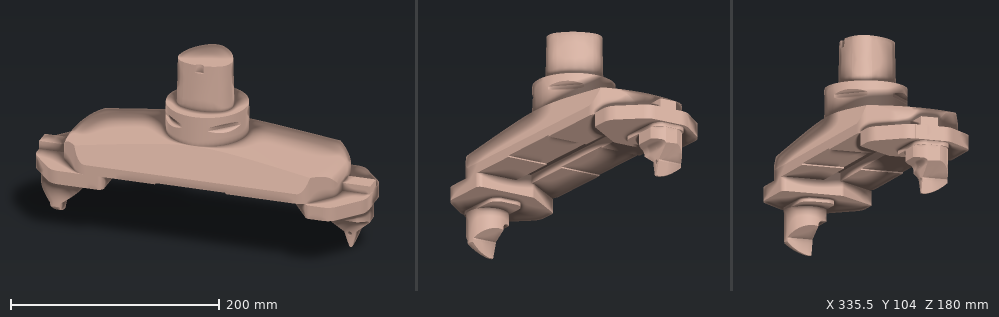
import cadquery as cq
import math


overall_length = 335.5

half_width = 52.0
corner_radius = 15.8
corner_angle = 50
body_end_radius = 140.0
body_corner_start = 114.5
roof_top_radius = 40.2
roof_top_z = 40.5
roof_edge_radius = 127.5
roof_edge_z = 26.5
round_bottom_z = 12.0
side_wall_height = 10.0
roof_half_width = 41.0
relief_length = 71.0
relief_depth = 1.5

collar_diameter = 80.0
collar_top_z = 70.8
groove_z = 58.5
groove_depth = 4.0
groove_floor_width = 3.0
groove_mouth_width = 9.5
shank_top_z = 118.0
shank_taper = 1.4
lobe_radius = 30.0
join_radius = 28.2
flat_radius = 25.5
join_angle = 20.5
notch_radius = 5.0
notch_height = 8.0
notch_y = -26.0

pad_thickness = 0.5
slide_end = (overall_length - pad_thickness) / 2
slide_inner_end = 89.0
slide_thickness = 14.0
slide_corner_start = 141.5
inner_cut_start = 117.5
inner_cut_angle = 55
inner_radius = 5.0
tongue_width = 17.5
tongue_height = 8.5
tongue_clearance = 0.7
pad_y = -8.5
pad_width = 12.7

cutter_x = 145.0
cutter_y = 5.7
cutter_radius = 20.5
front_flat_y = -12.0
side_flat = 19.5
flange_inner_end = 105.3
flange_outer_end = 164.5
flange_front_y = -11.5
flange_back_y = 23.8
flange_thickness = 4.0
flange_radius = 10.5
rake_top_z = -36.2
runout_radius = 5.5
ledge_angle = 10
outer_slope_front_z = -35.0
outer_slope_back_z = -31.5
inner_slope_starts = (-38.0, -36.5)
relief_mid = (12.0, -59.7)
relief_back_z = -50.3

insert_thickness = 4.7
insert_top = (-2.7, -34.2)
shoulder_wide = 6.0
shoulder_narrow = 4.0
shoulder_top_z = -47.0
shoulder_bottom_z = -48.3
tip_half_width = 1.17
insert_hole_x = -1.0
tip_z = -62.0
insert_hole_diameter = 4.5


def box_between(x0, x1, y0, y1, z0, z1):
    """Box given by its limits along each axis."""
    return cq.Workplane("XY").box(x1 - x0, y1 - y0, z1 - z0, centered=False).translate((x0, y0, z0))


def body_plan():
    """Upright block with round ends and four cut, rounded corners."""
    corner_drop = (body_end_radius - body_corner_start) * math.tan(math.radians(corner_angle))
    corner_y = half_width - corner_drop
    x_far = body_end_radius
    half = [(x_far, -corner_y), (x_far, corner_y), (body_corner_start, half_width)]
    outline = half + [(-x, y) for x, y in reversed(half)]
    outline += [(-body_corner_start, -half_width), (body_corner_start, -half_width)]
    block = cq.Workplane("XY").polyline(outline).close().extrude(roof_top_z)
    block = block.intersect(cq.Workplane("XY").circle(body_end_radius).extrude(roof_top_z))
    return block.edges("|Z").fillet(corner_radius)


def body_roof():
    """Conical roof with rounded edge, turned about the Z axis."""
    run = body_end_radius - roof_edge_radius
    rise = roof_edge_z - round_bottom_z
    radius = (run ** 2 + rise ** 2) / (2 * run)
    half_turn = math.asin(rise / radius) / 2
    mid_x = body_end_radius - radius * (1 - math.cos(half_turn))
    mid_z = round_bottom_z + radius * math.sin(half_turn)
    profile = (
        cq.Workplane("XZ")
        .lineTo(body_end_radius, 0)
        .lineTo(body_end_radius, round_bottom_z)
        .threePointArc((mid_x, mid_z), (roof_edge_radius, roof_edge_z))
        .lineTo(roof_top_radius, roof_top_z)
        .lineTo(0, roof_top_z)
        .close()
    )
    return profile.revolve(360, (0, 0, 0), (0, 1, 0))


def body_section():
    """Section with upright lower sides and sloping upper sides, along X."""
    points = [(half_width, 0), (half_width, side_wall_height), (roof_half_width, roof_top_z)]
    points += [(-y, z) for y, z in reversed(points)]
    return cq.Workplane("YZ").polyline(points).close().extrude(body_end_radius, both=True)


def shank():
    """Tapered three-lobed shank with a key notch at the top."""
    def polar(radius, angle):
        return (radius * math.cos(math.radians(angle)), radius * math.sin(math.radians(angle)))

    section = cq.Workplane("XY").workplane(offset=collar_top_z).moveTo(*polar(join_radius, 90 - join_angle))
    for lobe in (90, 210, 330):
        section = section.threePointArc(polar(lobe_radius, lobe), polar(join_radius, lobe + join_angle))
        section = section.threePointArc(
            polar(flat_radius, lobe + 60), polar(join_radius, lobe + 120 - join_angle)
        )
    height = shank_top_z - collar_top_z
    solid = section.close().extrude(height, taper=shank_taper)
    notch = (
        cq.Workplane("XY").workplane(offset=shank_top_z - notch_height)
        .center(0, notch_y).circle(notch_radius).extrude(notch_height)
    )
    return solid.cut(notch)


def collar():
    """Round collar with four V grooves cut across it."""
    radius = collar_diameter / 2
    solid = cq.Workplane("XY").workplane(offset=roof_top_z).circle(radius).extrude(collar_top_z - roof_top_z)
    floor = radius - groove_depth
    groove = (
        cq.Workplane("XZ")
        .polyline([
            (floor, groove_z - groove_floor_width / 2),
            (floor, groove_z + groove_floor_width / 2),
            (radius, groove_z + groove_mouth_width / 2),
            (radius, groove_z - groove_mouth_width / 2),
        ])
        .close()
        .extrude(radius, both=True)
    )
    for angle in (45, 135, 225, 315):
        solid = solid.cut(groove.rotate((0, 0, 0), (0, 0, 1), angle))
    return solid


def make_body():
    solid = body_plan().intersect(body_section()).intersect(body_roof())
    solid = solid.union(collar()).union(shank())
    slot = box_between(
        -body_end_radius, body_end_radius, -tongue_width / 2, tongue_width / 2,
        0, tongue_height + tongue_clearance,
    )
    relief = box_between(-relief_length / 2, relief_length / 2, -half_width, half_width, 0, relief_depth)
    return solid.cut(slot).cut(relief)


def edges_between(x0, x1):
    """Selector for the upright slide edges from x0 to x1."""
    margin = 1.7
    y = half_width + margin
    zone = cq.selectors.BoxSelector((x0 - margin, -y, -slide_thickness), (x1 + margin, y, tongue_height))
    return cq.selectors.AndSelector(cq.selectors.ParallelDirSelector(cq.Vector(0, 0, 1)), zone)


def make_slide(end_pad):
    """Slide at the +X end; end_pad adds the thin pad on its end face."""
    corner_drop = (slide_end - slide_corner_start) * math.tan(math.radians(corner_angle))
    corner_y = half_width - corner_drop
    inner_cut_y = (inner_cut_start - slide_inner_end) * math.tan(math.radians(inner_cut_angle)) - half_width
    slide = (
        cq.Workplane("XY")
        .polyline([
            (slide_end, -corner_y),
            (slide_end, corner_y),
            (slide_corner_start, half_width),
            (slide_inner_end, half_width),
            (slide_inner_end, inner_cut_y),
            (inner_cut_start, -half_width),
            (slide_corner_start, -half_width),
        ])
        .close()
        .extrude(slide_thickness + tongue_height)
        .translate((0, 0, -slide_thickness))
    )
    slide = slide.edges(edges_between(slide_corner_start, slide_end)).fillet(corner_radius)
    slide = slide.edges(edges_between(slide_inner_end, inner_cut_start)).fillet(inner_radius)
    for y0, y1 in ((-half_width, -tongue_width / 2), (tongue_width / 2, half_width)):
        slide = slide.cut(box_between(0, slide_end, y0, y1, 0, tongue_height))
    if end_pad:
        pad = box_between(
            slide_end - pad_thickness, slide_end + pad_thickness,
            pad_y - pad_width / 2, pad_y + pad_width / 2, -slide_thickness, 0,
        )
        slide = slide.union(pad)
    return slide


def insert_blank(hand, front_y):
    """Kite-shaped blade from front_y back; hand 1 has its wide shoulder toward the Z axis, -1 away."""
    points = [
        insert_top,
        (-shoulder_wide, shoulder_top_z),
        (-shoulder_wide, shoulder_bottom_z),
        (-tip_half_width, tip_z),
        (tip_half_width, tip_z),
        (shoulder_narrow, shoulder_bottom_z),
        (shoulder_narrow, shoulder_top_z),
    ]
    outline = [(cutter_x + hand * x, z) for x, z in points]
    blade = cq.Workplane("XZ").polyline(outline).close().extrude(front_y - insert_thickness)
    return blade.translate((0, front_y, 0))


def make_insert(hand):
    """Blade with its rake face on Y = 0 and a round hole through it."""
    hole = (
        cq.Workplane("XZ").center(cutter_x + hand * insert_hole_x, shoulder_bottom_z)
        .circle(insert_hole_diameter / 2).extrude(-insert_thickness)
    )
    return insert_blank(hand, 0).cut(hole)


def nose_block(hand, inner_slope_z, y_back):
    """Pointed block lofted from the front outline to the back outline, with a twisted outer slope."""
    inner_shoulder, outer_shoulder = shoulder_wide, shoulder_narrow
    if hand < 0:
        inner_shoulder, outer_shoulder = shoulder_narrow, shoulder_wide

    def outline(y, outer_slope_z):
        points = [
            (-cutter_radius, -slide_thickness),
            (-cutter_radius, inner_slope_z),
            (-inner_shoulder, shoulder_top_z),
            (-inner_shoulder, shoulder_bottom_z),
            (-tip_half_width, tip_z),
            (tip_half_width, tip_z),
            (outer_shoulder, shoulder_bottom_z),
            (outer_shoulder, shoulder_top_z),
            (side_flat, outer_slope_z),
            (side_flat, -slide_thickness),
        ]
        return cq.Wire.makePolygon([cq.Vector(cutter_x + x, y, z) for x, z in points], close=True)

    front = outline(front_flat_y, outer_slope_front_z)
    back = outline(y_back, outer_slope_back_z)
    return cq.Workplane(cq.Solid.makeLoft([front, back], True))


def make_cartridge(hand, inner_slope_z):
    """Cartridge at the +X end, rake face looking toward -Y; hand as for its insert."""
    flange_top = -slide_thickness
    flange_bottom = flange_top - flange_thickness
    flange = box_between(
        flange_inner_end, flange_outer_end, flange_front_y, flange_back_y, flange_bottom, flange_top
    ).edges("|Z").fillet(flange_radius)

    shaft = (
        cq.Workplane("XY").workplane(offset=tip_z).center(cutter_x, cutter_y)
        .circle(cutter_radius).extrude(flange_bottom - tip_z)
    )
    y_back = cutter_y + cutter_radius
    tilt = math.radians(ledge_angle)
    ledge_y = runout_radius * (math.sin(tilt) - 1)
    ledge_z = rake_top_z + runout_radius * math.cos(tilt)
    ledge_front_z = ledge_z + (ledge_y - front_flat_y) * math.tan(tilt)
    mid = runout_radius * math.sqrt(0.5)
    side = (
        cq.Workplane("YZ")
        .moveTo(front_flat_y, flange_bottom)
        .lineTo(front_flat_y, ledge_front_z)
        .lineTo(ledge_y, ledge_z)
        .threePointArc((mid - runout_radius, rake_top_z + mid), (0, rake_top_z))
        .lineTo(0, tip_z)
        .lineTo(insert_thickness, tip_z)
        .threePointArc(relief_mid, (y_back, relief_back_z))
        .lineTo(y_back, flange_bottom)
        .close()
        .extrude(slide_end)
    )
    shaft = shaft.intersect(nose_block(hand, inner_slope_z, y_back)).intersect(side)
    return flange.union(shaft).cut(insert_blank(hand, -runout_radius))


def placed(part, turn):
    """The part turned about the shank axis, as a solid."""
    return part.rotate((0, 0, 0), (0, 0, 1), turn).val()


body = make_body()
slides = []
cartridges = []
inserts = []
for turn, hand, inner_slope_z in zip((0, 180), (1, -1), inner_slope_starts):
    slides.append(placed(make_slide(end_pad=turn == 0), turn))
    cartridges.append(placed(make_cartridge(hand, inner_slope_z), turn))
    inserts.append(placed(make_insert(hand), turn))

result = cq.Compound.makeCompound([body.val(), *slides, *cartridges, *inserts])